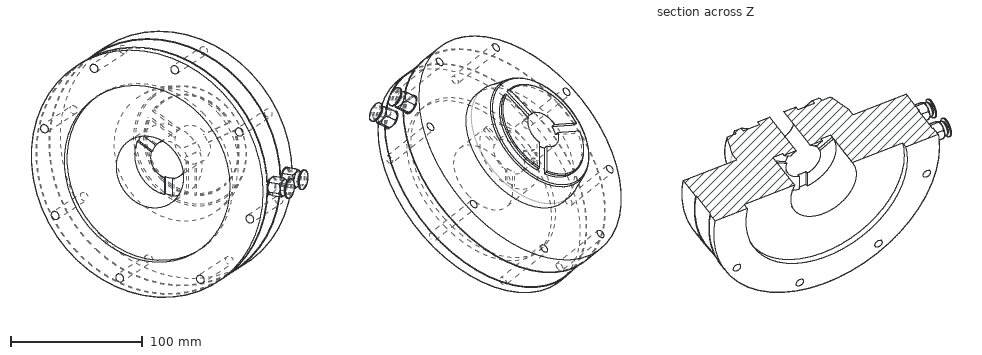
import cadquery as cq
import math

FULL_TURN = 360

FRONT_PLATE_END = 8.0
MIDDLE_RING_END = 30.5
REAR_RING_END = 50.2
HUB_CYLINDER_END = 56.8
HUB_CONE_END = 74.0
HUB_END = 75.3
NOSE_END = 78.5

BODY_RADIUS = 196.0 / 2
MIDDLE_RING_RADIUS = BODY_RADIUS - 0.6
HUB_RADIUS = 52.5
HUB_CONE_TOP_RADIUS = 47.7
HUB_RIM_CHAMFER = 1.0
NOSE_RADIUS = 39.9
NOSE_CHAMFER = 0.8

RECESS_RADIUS = 70.0
RECESS_DEPTH = 4.9
BORE_RADIUS = 28.5
BORE_FLOOR = 36.7
CENTRE_HOLE_RADIUS = 15.0
BOLT_CIRCLE_RADIUS = 89.9
BOLT_HOLE_DIAMETER = 6.5
BOLT_COUNT = 8
FIRST_BOLT_ANGLE = 30

SLOT_WIDTH = 7.0
SLOT_ANGLES = (30, 150, 270)
FLOOR_SLOT_DEPTH = 2.1

OVERALL_WIDTH = 211.0

FITTING_POSITIONS = (16.0, 39.5)
SEAT_DEPTH = 0.2
FITTING_SEAT = MIDDLE_RING_RADIUS - SEAT_DEPTH
FITTING_LENGTH = OVERALL_WIDTH - BODY_RADIUS - FITTING_SEAT
HEX_ACROSS_FLATS = 13.0
HEX_CORNER_RADIUS = HEX_ACROSS_FLATS / 2 / math.cos(math.radians(30))
HEX_CORNER_ANGLE = 82
HEX_LENGTH = 10.8
HEX_END_RADIUS = 6.3
HEX_CHAMFER_LENGTH = 1.5
SLEEVE_RADIUS = 5.7
SLEEVE_TAPER_END = 13.0
SLEEVE_END = 13.7
NECK_RADIUS = 4.9
DISC_RADIUS = 7.5
DISC_THICKNESS = 1.0


def cylinder_along_y(radius, start, end):
    return cq.Workplane("XZ", origin=(0, start, 0)).circle(radius).extrude(start - end)


def radial_slots(outer_radius, start, end):
    """Straight slots running outward from the Y axis, between two Y positions."""
    slots = cq.Workplane("XY")
    for angle in SLOT_ANGLES:
        slot = (
            cq.Workplane("XY")
            .box(outer_radius, end - start, SLOT_WIDTH, centered=(False, False, True))
            .translate((0, start, 0))
            .rotate((0, 0, 0), (0, 1, 0), -angle)
        )
        slots = slots.add(slot)
    return slots.combine()


def housing_blank():
    """Stepped round body, with its tapered hub and nose."""
    profile = [
        (0, 0),
        (BODY_RADIUS, 0),
        (BODY_RADIUS, FRONT_PLATE_END),
        (MIDDLE_RING_RADIUS, FRONT_PLATE_END),
        (MIDDLE_RING_RADIUS, MIDDLE_RING_END),
        (BODY_RADIUS, MIDDLE_RING_END),
        (BODY_RADIUS, REAR_RING_END),
        (HUB_RADIUS, REAR_RING_END),
        (HUB_RADIUS, HUB_CYLINDER_END),
        (HUB_CONE_TOP_RADIUS, HUB_CONE_END),
        (HUB_CONE_TOP_RADIUS - HUB_RIM_CHAMFER, HUB_END),
        (NOSE_RADIUS, HUB_END),
        (NOSE_RADIUS, NOSE_END - NOSE_CHAMFER),
        (NOSE_RADIUS - NOSE_CHAMFER, NOSE_END),
        (0, NOSE_END),
    ]
    return cq.Workplane("XY").polyline(profile).close().revolve(FULL_TURN, (0, 0, 0), (0, 1, 0))


def cut_bores(body):
    """Front recess, main bore with a flat floor, and the centre hole through the nose."""
    body = body.cut(cylinder_along_y(RECESS_RADIUS, 0, RECESS_DEPTH))
    body = body.cut(cylinder_along_y(BORE_RADIUS, 0, BORE_FLOOR))
    return body.cut(cylinder_along_y(CENTRE_HOLE_RADIUS, 0, NOSE_END))


def cut_slots(body):
    """Blind slots in the bore floor, and slots across the nose down to the hub."""
    floor_slots = radial_slots(BORE_RADIUS, BORE_FLOOR, BORE_FLOOR + FLOOR_SLOT_DEPTH).intersect(
        cylinder_along_y(BORE_RADIUS, 0, NOSE_END)
    )
    nose_slots = radial_slots(HUB_RADIUS, HUB_END, NOSE_END)
    return body.cut(floor_slots).cut(nose_slots)


def cut_bolt_holes(body):
    holes = (
        cq.Workplane("XZ")
        .polarArray(BOLT_CIRCLE_RADIUS, FIRST_BOLT_ANGLE, FULL_TURN, BOLT_COUNT)
        .circle(BOLT_HOLE_DIAMETER / 2)
        .extrude(-REAR_RING_END)
    )
    return body.cut(holes)


def cut_fitting_seats(body):
    """Flat round seats that let each fitting bear on a flat face just below the middle ring's radius."""
    for y in FITTING_POSITIONS:
        seat = (
            cq.Workplane("YZ", origin=(FITTING_SEAT, y, 0))
            .circle(HEX_CORNER_RADIUS)
            .extrude(FITTING_LENGTH)
        )
        body = body.cut(seat)
    return body


def make_housing():
    body = cut_bores(housing_blank())
    body = cut_slots(body)
    body = cut_bolt_holes(body)
    return cut_fitting_seats(body)


def revolve_about_x(profile):
    return cq.Workplane("XY").polyline(profile).close().revolve(FULL_TURN, (0, 0, 0), (1, 0, 0))


def fitting_hexagon():
    """Hexagon whose corners are turned down to a cone at both ends."""
    hexagon = (
        cq.Workplane("YZ")
        .polygon(6, 2 * HEX_CORNER_RADIUS)
        .extrude(HEX_LENGTH)
        .rotate((0, 0, 0), (1, 0, 0), HEX_CORNER_ANGLE)
    )
    turned_envelope = revolve_about_x([
        (0, 0),
        (0, HEX_END_RADIUS),
        (HEX_CHAMFER_LENGTH, HEX_CORNER_RADIUS),
        (HEX_LENGTH - HEX_CHAMFER_LENGTH, HEX_CORNER_RADIUS),
        (HEX_LENGTH, HEX_END_RADIUS),
        (HEX_LENGTH, 0),
    ])
    return hexagon.intersect(turned_envelope)


def fitting_sleeve():
    """Tapered sleeve, narrow neck and release disc beyond the hexagon."""
    disc_start = FITTING_LENGTH - DISC_THICKNESS
    return revolve_about_x([
        (HEX_LENGTH, 0),
        (HEX_LENGTH, HEX_END_RADIUS),
        (SLEEVE_TAPER_END, SLEEVE_RADIUS),
        (SLEEVE_END, SLEEVE_RADIUS),
        (SLEEVE_END, NECK_RADIUS),
        (disc_start, NECK_RADIUS),
        (disc_start, DISC_RADIUS),
        (FITTING_LENGTH, DISC_RADIUS),
        (FITTING_LENGTH, 0),
    ])


def make_fitting(y):
    fitting = fitting_hexagon().union(fitting_sleeve())
    return fitting.translate((FITTING_SEAT, y, 0))


housing = make_housing()
fittings = [make_fitting(y) for y in FITTING_POSITIONS]

result = cq.Compound.makeCompound([housing.val(), *[fitting.val() for fitting in fittings]])